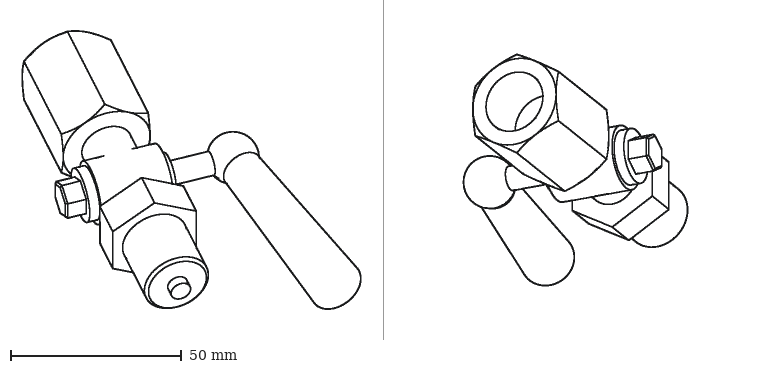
import cadquery as cq
import math


SOCKET_START = -53.0
SOCKET_END = -17.0
SOCKET_FLATS = 27.0
SOCKET_CHAMFER_LENGTH = 1.6
SOCKET_BORE_RADIUS = 9.2
SOCKET_BORE_DEPTH = 20.0
FLOW_BORE_RADIUS = 3.6
FLOW_BORE_END = -8.2
PIPE_RADIUS = 7.7
HUB_RADIUS = 9.6
HUB_FRONT = -11.0
HUB_BACK = 11.3
HUB_FILLET = 1.2
NUT_START = 13.7
NUT_END = 25.0
NUT_FLATS = 26.0
SPIGOT_RADIUS = 10.0
SPIGOT_END = 45.2
SPIGOT_CHAMFER = 0.9
TIP_RADIUS = 3.0
TIP_END = 48.1

PLUG_RADIUS = 6.4
PLUG_BACK = 13.3
COLLAR_RADIUS = 8.2
COLLAR_FRONT = -14.2
HEAD_FLATS = 10.1
HEAD_FRONT = -20.5
HEAD_CHAMFER = 0.6

STEM_RADIUS = 3.6
BALL_Y = 33.2
BALL_RADIUS = 7.7
GRIP_ANGLE = 9.6
GRIP_START = 5.5
GRIP_END = 63.7
GRIP_START_RADIUS = 6.2
GRIP_END_RADIUS = 8.2
GRIP_FILLET = 1.8


def cylinder_x(radius, start, end):
    return cq.Workplane("YZ", origin=(start, 0, 0)).circle(radius).extrude(end - start)


def cylinder_y(radius, start, end):
    return cq.Workplane("XZ", origin=(0, end, 0)).circle(radius).extrude(end - start)


def across_corners(flats):
    return flats / math.cos(math.pi / 6)


def hexagon_x(flats, start, end):
    """Hexagonal bar along X with corners pointing up and down."""
    return (
        cq.Workplane("YZ", origin=(start, 0, 0))
        .transformed(rotate=(0, 0, 90))
        .polygon(6, across_corners(flats))
        .extrude(end - start)
    )


def make_socket():
    """Hexagonal socket whose corners are turned down to a cone at both ends."""
    face_radius = SOCKET_FLATS / 2
    corner_radius = across_corners(SOCKET_FLATS) / 2
    turned_blank = (
        cq.Workplane("XY")
        .moveTo(SOCKET_START, 0)
        .lineTo(SOCKET_START, face_radius)
        .lineTo(SOCKET_START + SOCKET_CHAMFER_LENGTH, corner_radius)
        .lineTo(SOCKET_END - SOCKET_CHAMFER_LENGTH, corner_radius)
        .lineTo(SOCKET_END, face_radius)
        .lineTo(SOCKET_END, 0)
        .close()
        .revolve(360, (0, 0, 0), (1, 0, 0))
    )
    return hexagon_x(SOCKET_FLATS, SOCKET_START, SOCKET_END).intersect(turned_blank)


def make_crossing():
    """Plug hub crossed by the pipe, with the two junctions filleted."""
    hub = cylinder_y(HUB_RADIUS, HUB_FRONT, HUB_BACK)
    crossing = hub.union(cylinder_x(PIPE_RADIUS, SOCKET_END, NUT_START))
    return crossing.edges("%BSPLINE").fillet(HUB_FILLET)


def make_housing():
    nut = hexagon_x(NUT_FLATS, NUT_START, NUT_END)
    spigot = cylinder_x(SPIGOT_RADIUS, NUT_END, SPIGOT_END).faces(">X").chamfer(SPIGOT_CHAMFER)
    tip = cylinder_x(TIP_RADIUS, SPIGOT_END, TIP_END)
    housing = make_crossing().union(make_socket()).union(nut).union(spigot).union(tip)
    socket_bore = cylinder_x(SOCKET_BORE_RADIUS, SOCKET_START, SOCKET_START + SOCKET_BORE_DEPTH)
    flow_bore = cylinder_x(FLOW_BORE_RADIUS, SOCKET_START, FLOW_BORE_END)
    plug_bore = cylinder_y(PLUG_RADIUS, HUB_FRONT, HUB_BACK)
    return housing.cut(socket_bore).cut(flow_bore).cut(plug_bore)


def make_plug():
    """Plug through the hub, with a front collar and a hexagonal head."""
    barrel = cylinder_y(PLUG_RADIUS, HUB_FRONT, PLUG_BACK)
    collar = cylinder_y(COLLAR_RADIUS, COLLAR_FRONT, HUB_FRONT)
    head = (
        cq.Workplane("XZ", origin=(0, COLLAR_FRONT, 0))
        .transformed(rotate=(0, 0, 90))
        .polygon(6, across_corners(HEAD_FLATS))
        .extrude(COLLAR_FRONT - HEAD_FRONT)
        .faces("<Y")
        .chamfer(HEAD_CHAMFER)
    )
    return barrel.union(collar).union(head)


def tilt_about_ball(shape):
    """Turn a shape from the X direction at the ball centre to the grip direction."""
    return shape.rotate((0, BALL_Y, 0), (0, BALL_Y, 1), GRIP_ANGLE)


def make_lever():
    """Stem carrying a ball with a flat seat for the grip."""
    ball = cq.Workplane("XY", origin=(0, BALL_Y, 0)).sphere(BALL_RADIUS)
    beyond_seat = cylinder_x(BALL_RADIUS, GRIP_START, GRIP_END).translate((0, BALL_Y, 0))
    stem = cylinder_y(STEM_RADIUS, PLUG_BACK, BALL_Y)
    return ball.cut(tilt_about_ball(beyond_seat)).union(stem)


def make_grip():
    """Tapered round grip that widens away from the ball."""
    grip = (
        cq.Workplane("XY", origin=(0, BALL_Y, 0))
        .moveTo(GRIP_START, 0)
        .lineTo(GRIP_START, GRIP_START_RADIUS)
        .lineTo(GRIP_END, GRIP_END_RADIUS)
        .lineTo(GRIP_END, 0)
        .close()
        .revolve(360, (0, 0, 0), (1, 0, 0))
        .faces(">X")
        .edges()
        .fillet(GRIP_FILLET)
    )
    return tilt_about_ball(grip)


housing = make_housing()
plug = make_plug()
lever = make_lever()
grip = make_grip()

result = cq.Compound.makeCompound(
    [
        housing.solids().val(),
        plug.solids().val(),
        lever.solids().val(),
        grip.solids().val(),
    ]
)